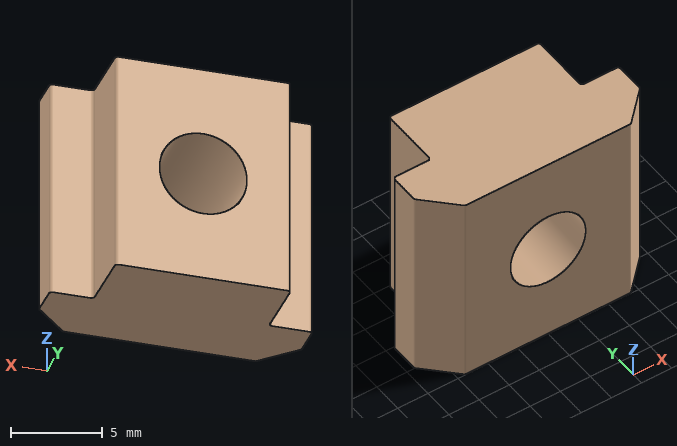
import cadquery as cq

flange_width = 15.0
depth = 8.0
length = 13.0

stem_width = 10.0
flange_thickness = 4.0
chamfer_size = 2.0
edge_radius = 0.2
hole_diameter = 5.0

front_y = -depth / 2
back_y = depth / 2
shoulder_y = front_y + flange_thickness
half_flange = flange_width / 2
half_stem = stem_width / 2
half_front = half_flange - chamfer_size


def make_body():
    """T-shaped bar along Z with bevelled front corners and rounded long edges."""
    outline = [
        (-half_front, front_y),
        (half_front, front_y),
        (half_flange, front_y + chamfer_size),
        (half_flange, shoulder_y),
        (half_stem, shoulder_y),
        (half_stem, back_y),
        (-half_stem, back_y),
        (-half_stem, shoulder_y),
        (-half_flange, shoulder_y),
        (-half_flange, front_y + chamfer_size),
    ]
    bar = cq.Workplane("XY").polyline(outline).close().extrude(length / 2, both=True)
    return bar.edges("|Z").fillet(edge_radius)


def make_hole():
    """Round hole running from front to back through the centre."""
    return cq.Workplane("XZ").circle(hole_diameter / 2).extrude(depth, both=True)


result = make_body().cut(make_hole())